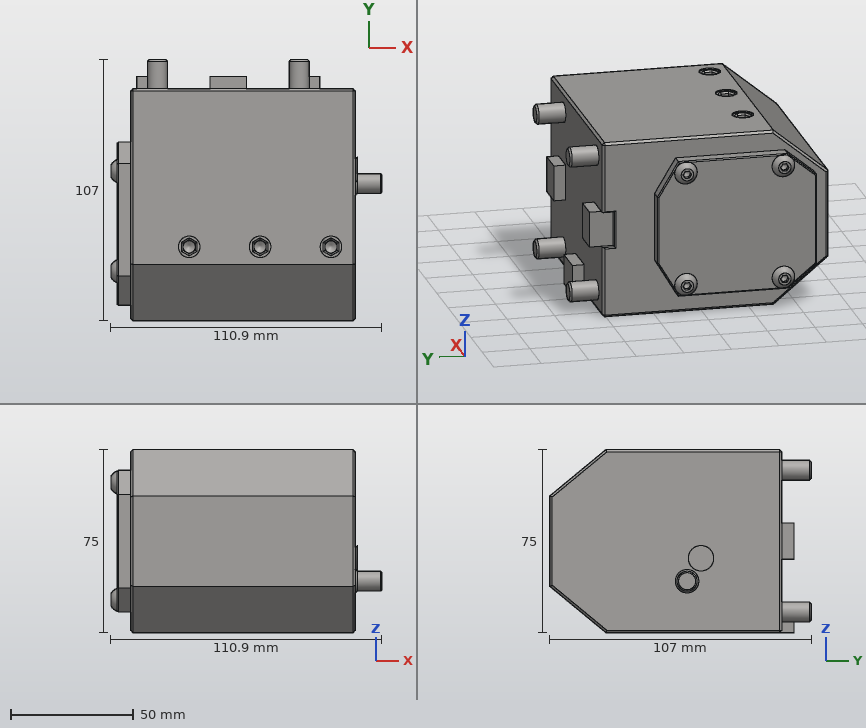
import cadquery as cq
import math

LENGTH = 92.0
DEPTH = 95.0
HEIGHT = 75.0
FRONT_SLOPE_DEPTH = 23.0
FRONT_SLOPE_HEIGHT = 19.0
HOUSING_CHAMFER = 1.0

COVER_THICKNESS = 5.5
COVER_FRONT = 6.3
COVER_BACK = 73.2
COVER_HEIGHT = 58.0
COVER_FLAT_FRONT = 18.4
COVER_FLAT_BACK = 64.4
COVER_FRONT_EDGE = 38.2
COVER_BACK_EDGE = 28.6
COVER_CHAMFER = 0.5

BUTTON_DIAMETER = 9.5
BUTTON_TOP_DIAMETER = 5.2
BUTTON_HEIGHT = 2.5
BUTTON_HEX = 3.0
BUTTON_HEX_DEPTH = 1.6
BUTTON_CENTER_Y = 40.8
BUTTON_PITCH_Y = 41.0
BUTTON_PITCH_Z = 48.0

MOUNT_X = 40.0
STUD_PITCH = 58.0
STUD_DIAMETER = 8.3
STUD_LENGTH = 12.0
STUD_CHAMFER = 0.8
KEY_WIDTH = 15.0
KEY_LENGTH = 12.5
KEY_DEPTH = 10.0
KEY_PROTRUSION = 5.0
KEY_REACH = 37.5
SLOT_CHAMFER = 0.5

SET_SCREW_X = 53.0
SET_SCREW_Y = 30.3
SET_SCREW_PITCH = 29.0
SET_SCREW_DIAMETER = 8.8
SET_SCREW_RECESS = 0.5
SET_SCREW_HEX = 5.0
SET_SCREW_HEX_DEPTH = 4.0
SET_SCREW_MOUTH_HEX = 6.4
SET_SCREW_MOUTH_DEPTH = 0.7

SPIGOT_Y = 56.2
SPIGOT_Z = -16.4
SPIGOT_DIAMETER = 8.2
SPIGOT_LENGTH = 10.88
SPIGOT_CHAMFER = 0.6
COLLAR_DIAMETER = 9.6
END_SCREW_Y = 61.9
END_SCREW_Z = -7.0
END_SCREW_DIAMETER = 10.4
END_FEATURE_HEIGHT = 0.8

DRILL_POINT_ANGLE = 120.0
HEXAGON_HALF_ANGLE = 30.0


def hexagon_diameter(across_flats):
    """Diameter across the corners of a hexagon."""
    return across_flats / math.cos(math.radians(HEXAGON_HALF_ANGLE))


def hexagon_socket(across_flats, depth):
    """Cutter for a hexagon socket going down from the origin and ending in a drill point."""
    hexagon = cq.Workplane("XY").polygon(6, hexagon_diameter(across_flats)).extrude(-depth)
    radius = across_flats / 2
    point_depth = radius / math.tan(math.radians(DRILL_POINT_ANGLE / 2))
    point = cq.Solid.makeCone(
        radius, 0, point_depth, cq.Vector(0, 0, -depth), cq.Vector(0, 0, -1)
    )
    return hexagon.union(cq.Workplane(point))


def make_housing():
    half = HEIGHT / 2
    shoulder = half - FRONT_SLOPE_HEIGHT
    outline = [
        (DEPTH, half),
        (FRONT_SLOPE_DEPTH, half),
        (0, shoulder),
        (0, -shoulder),
        (FRONT_SLOPE_DEPTH, -half),
        (DEPTH, -half),
    ]
    housing = cq.Workplane("YZ").polyline(outline).close().extrude(LENGTH)
    return housing.faces("<X or >X or >Y").edges().chamfer(HOUSING_CHAMFER)


def make_cover():
    half = COVER_HEIGHT / 2
    outline = [
        (COVER_FLAT_BACK, half),
        (COVER_FLAT_FRONT, half),
        (COVER_FRONT, COVER_FRONT_EDGE / 2),
        (COVER_FRONT, -COVER_FRONT_EDGE / 2),
        (COVER_FLAT_FRONT, -half),
        (COVER_FLAT_BACK, -half),
        (COVER_BACK, -COVER_BACK_EDGE / 2),
        (COVER_BACK, COVER_BACK_EDGE / 2),
    ]
    cover = cq.Workplane("YZ").polyline(outline).close().extrude(-COVER_THICKNESS)
    return cover.faces("<X").edges().chamfer(COVER_CHAMFER)


def make_button_head():
    """Domed head with a hexagon socket, standing upright on the origin."""
    rim = BUTTON_DIAMETER / 2
    top = BUTTON_TOP_DIAMETER / 2
    center_z = (top**2 + BUTTON_HEIGHT**2 - rim**2) / (2 * BUTTON_HEIGHT)
    dome_radius = math.hypot(rim, center_z)
    middle_r = (rim + top) / 2
    middle_z = center_z + math.sqrt(dome_radius**2 - middle_r**2)
    head = (
        cq.Workplane("XZ")
        .lineTo(rim, 0)
        .threePointArc((middle_r, middle_z), (top, BUTTON_HEIGHT))
        .lineTo(0, BUTTON_HEIGHT)
        .close()
        .revolve(360, (0, 0, 0), (0, 1, 0))
    )
    socket = hexagon_socket(BUTTON_HEX, BUTTON_HEX_DEPTH)
    socket = socket.rotate((0, 0, 0), (0, 0, 1), HEXAGON_HALF_ANGLE)
    return head.cut(socket.translate((0, 0, BUTTON_HEIGHT)))


def add_button_heads(part):
    head = make_button_head().rotate((0, 0, 0), (0, 1, 0), -90)
    for side_y in (-1, 1):
        for side_z in (-1, 1):
            y = BUTTON_CENTER_Y + side_y * BUTTON_PITCH_Y / 2
            z = side_z * BUTTON_PITCH_Z / 2
            part = part.union(head.translate((-COVER_THICKNESS, y, z)))
    return part


def add_studs(part):
    stud = (
        cq.Workplane("XZ", origin=(0, DEPTH, 0))
        .circle(STUD_DIAMETER / 2)
        .extrude(-STUD_LENGTH)
        .faces(">Y")
        .chamfer(STUD_CHAMFER)
    )
    for side_x in (-1, 1):
        for side_z in (-1, 1):
            x = MOUNT_X + side_x * STUD_PITCH / 2
            part = part.union(stud.translate((x, 0, side_z * STUD_PITCH / 2)))
    return part


def cut_key_slot(part):
    """Slot for the -X key, open to the -X end, with a bevelled mouth there."""
    slot_floor = DEPTH + KEY_PROTRUSION - KEY_DEPTH
    slot_length = MOUNT_X - KEY_REACH + KEY_LENGTH
    slot = cq.Workplane("XY").box(
        slot_length, DEPTH - slot_floor, KEY_WIDTH, centered=(False, False, True)
    ).translate((0, slot_floor, 0))
    mouth = (
        cq.Workplane("YZ")
        .center((slot_floor + DEPTH) / 2, 0)
        .rect(DEPTH - slot_floor + 2 * SLOT_CHAMFER, KEY_WIDTH + 2 * SLOT_CHAMFER)
        .workplane(offset=SLOT_CHAMFER)
        .rect(DEPTH - slot_floor, KEY_WIDTH)
        .loft()
    )
    return part.cut(slot).cut(mouth)


def add_keys(part):
    """Rectangular keys on the -X, +X and -Z sides of the mount centre."""
    key = cq.Workplane("XY").box(
        KEY_LENGTH, KEY_DEPTH, KEY_WIDTH, centered=(False, False, True)
    ).translate((KEY_REACH - KEY_LENGTH, DEPTH + KEY_PROTRUSION - KEY_DEPTH, 0))
    for angle in (0, 90, 180):
        turned = key.rotate((0, 0, 0), (0, 1, 0), angle)
        part = part.union(turned.translate((MOUNT_X, 0, 0)))
    return part


def cut_set_screws(part):
    """Recessed flat screw tops, each with a hexagon socket that has a flared mouth."""
    recess = cq.Workplane("XY").circle(SET_SCREW_DIAMETER / 2).extrude(-SET_SCREW_RECESS)
    mouth = (
        cq.Workplane("XY")
        .polygon(6, hexagon_diameter(SET_SCREW_MOUTH_HEX))
        .workplane(offset=-SET_SCREW_MOUTH_DEPTH)
        .polygon(6, hexagon_diameter(SET_SCREW_HEX))
        .loft()
    )
    socket = hexagon_socket(SET_SCREW_HEX, SET_SCREW_HEX_DEPTH).union(mouth)
    socket = socket.rotate((0, 0, 0), (0, 0, 1), HEXAGON_HALF_ANGLE)
    cutter = recess.union(socket.translate((0, 0, -SET_SCREW_RECESS)))
    for step in (-1, 0, 1):
        x = SET_SCREW_X + step * SET_SCREW_PITCH
        part = part.cut(cutter.translate((x, SET_SCREW_Y, HEIGHT / 2)))
    return part


def add_spigot(part):
    """Round spigot with a tapered collar at its foot."""
    spigot = (
        cq.Workplane("YZ", origin=(LENGTH, SPIGOT_Y, SPIGOT_Z))
        .circle(SPIGOT_DIAMETER / 2)
        .extrude(SPIGOT_LENGTH)
        .faces(">X")
        .chamfer(SPIGOT_CHAMFER)
    )
    collar = cq.Solid.makeCone(
        COLLAR_DIAMETER / 2, SPIGOT_DIAMETER / 2, END_FEATURE_HEIGHT,
        cq.Vector(LENGTH, SPIGOT_Y, SPIGOT_Z), cq.Vector(1, 0, 0),
    )
    return part.union(spigot).union(cq.Workplane(collar))


def add_end_screw(part):
    """Countersunk head standing slightly proud of the +X end."""
    rim = END_SCREW_DIAMETER / 2
    head = cq.Solid.makeCone(
        rim - END_FEATURE_HEIGHT, rim, END_FEATURE_HEIGHT,
        cq.Vector(LENGTH, END_SCREW_Y, END_SCREW_Z), cq.Vector(1, 0, 0),
    )
    return part.union(cq.Workplane(head))


result = make_housing().union(make_cover())
result = add_button_heads(result)
result = cut_key_slot(result)
result = add_keys(result)
result = add_studs(result)
result = cut_set_screws(result)
result = add_end_screw(result)
result = add_spigot(result)